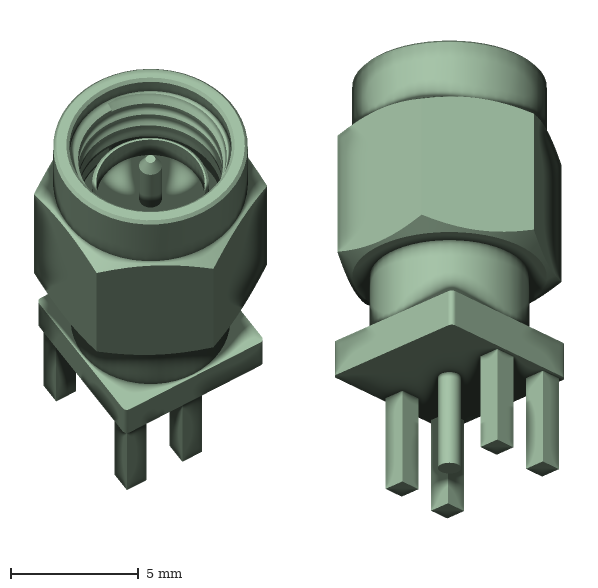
import cadquery as cq
import math


total_height = 16.93
base_bottom = 4.0
base_top = 5.5
nut_bottom = 8.43
hex_top = 14.42
seat_height = 13.0
insulator_top = 13.45

base_side = 6.47
base_corner_radius = 0.2
barrel_diameter = 6.25
tube_diameter = 4.59
tube_top = 14.44
tube_chamfer = 0.1
insulator_diameter = 4.25
leg_side = 0.91
leg_offset = 2.57

tip_diameter = 0.9
shoulder_diameter = 1.27
tail_diameter = 0.91
contact_top = 16.02
point_height = 0.44
point_flat_diameter = 0.39

hex_across_corners = 9.15
collar_diameter = 7.62
collar_chamfer = 0.12
hex_end_diameter = collar_diameter
hex_chamfer_angle = 30.0
mouth_chamfer = 0.12
relief_diameter = 6.35
relief_depth = 0.71
lead_in_height = 0.2

thread_minor_diameter = 5.67
thread_root_diameter = 6.25
thread_pitch = 0.71
thread_flank_angle = 45.0
thread_start_height = 13.35
thread_start_angle = 180.0
thread_turns = 4.0
thread_overlap = 0.03


def cylinder(diameter, bottom, top):
    return cq.Workplane("XY").workplane(offset=bottom).circle(diameter / 2).extrude(top - bottom)


def make_hexagon():
    """Hexagon with corners on the X axis and conical chamfers on both ends."""
    hexagon = (
        cq.Workplane("XY")
        .workplane(offset=nut_bottom)
        .polygon(6, hex_across_corners)
        .extrude(hex_top - nut_bottom)
    )
    corner_radius = hex_across_corners / 2
    end_radius = hex_end_diameter / 2
    drop = (corner_radius - end_radius) * math.tan(math.radians(hex_chamfer_angle))
    envelope = (
        cq.Workplane("XZ")
        .moveTo(0, nut_bottom)
        .lineTo(end_radius, nut_bottom)
        .lineTo(corner_radius, nut_bottom + drop)
        .lineTo(corner_radius, hex_top - drop)
        .lineTo(end_radius, hex_top)
        .lineTo(0, hex_top)
        .close()
        .revolve(360, (0, 0, 0), (0, 1, 0))
    )
    return hexagon.intersect(envelope)


def make_nut_bore():
    """Space inside the nut: barrel bore, thread minor bore, lead-in cone, relief and mouth."""
    barrel_radius = barrel_diameter / 2
    minor_radius = thread_minor_diameter / 2
    relief_radius = relief_diameter / 2
    relief_bottom = total_height - relief_depth
    cone_bottom = relief_bottom - lead_in_height
    return (
        cq.Workplane("XZ")
        .moveTo(0, nut_bottom)
        .lineTo(barrel_radius, nut_bottom)
        .lineTo(barrel_radius, seat_height)
        .lineTo(minor_radius, seat_height)
        .lineTo(minor_radius, cone_bottom)
        .lineTo(relief_radius, relief_bottom)
        .lineTo(relief_radius, total_height - mouth_chamfer)
        .lineTo(relief_radius + mouth_chamfer, total_height)
        .lineTo(0, total_height)
        .close()
        .revolve(360, (0, 0, 0), (0, 1, 0))
    )


def make_thread_groove():
    """Right-hand helical V groove, cut outward from the minor bore up into the relief."""
    inner_radius = thread_minor_diameter / 2 - thread_overlap
    root_radius = thread_root_diameter / 2
    half_mouth = (root_radius - inner_radius) * math.tan(math.radians(thread_flank_angle))
    helix = cq.Wire.makeHelix(thread_pitch, thread_pitch * thread_turns, inner_radius)
    groove = (
        cq.Workplane("XZ")
        .moveTo(inner_radius, -half_mouth)
        .lineTo(root_radius, 0)
        .lineTo(inner_radius, half_mouth)
        .close()
        .sweep(cq.Workplane(helix), isFrenet=True)
    )
    return groove.rotate((0, 0, 0), (0, 0, 1), thread_start_angle).translate((0, 0, thread_start_height))


def make_nut():
    collar = cylinder(collar_diameter, nut_bottom, total_height).faces(">Z").chamfer(collar_chamfer)
    nut = make_hexagon().union(collar)
    return nut.cut(make_nut_bore()).cut(make_thread_groove())


def make_shell():
    base = (
        cq.Workplane("XY")
        .workplane(offset=base_bottom)
        .rect(base_side, base_side)
        .extrude(base_top - base_bottom)
        .edges("|Z")
        .fillet(base_corner_radius)
    )
    barrel = cylinder(barrel_diameter, base_top, seat_height)
    tube = cylinder(tube_diameter, seat_height, tube_top).faces(">Z").chamfer(tube_chamfer)
    shell = base.union(barrel).union(tube)
    shell = shell.cut(cylinder(insulator_diameter, base_top, tube_top))
    shell = shell.cut(cylinder(tail_diameter, base_bottom, base_top))
    for x in (-leg_offset, leg_offset):
        for y in (-leg_offset, 0):
            leg = cq.Workplane("XY").center(x, y).rect(leg_side, leg_side).extrude(base_bottom)
            shell = shell.union(leg)
    return shell


def make_insulator():
    sleeve = cylinder(insulator_diameter, base_top, insulator_top)
    return sleeve.cut(cylinder(shoulder_diameter, base_top, insulator_top))


def make_contact():
    """Center contact: tail, thicker shoulder inside the insulator, and pointed tip."""
    tip_radius = tip_diameter / 2
    return (
        cq.Workplane("XZ")
        .lineTo(tail_diameter / 2, 0)
        .lineTo(tail_diameter / 2, base_top)
        .lineTo(shoulder_diameter / 2, base_top)
        .lineTo(shoulder_diameter / 2, insulator_top)
        .lineTo(tip_radius, insulator_top)
        .lineTo(tip_radius, contact_top - point_height)
        .lineTo(point_flat_diameter / 2, contact_top)
        .lineTo(0, contact_top)
        .close()
        .revolve(360, (0, 0, 0), (0, 1, 0))
    )


nut = make_nut()
shell = make_shell()
insulator = make_insulator()
contact = make_contact()

result = cq.Compound.makeCompound([nut.val(), shell.val(), insulator.val(), contact.val()])